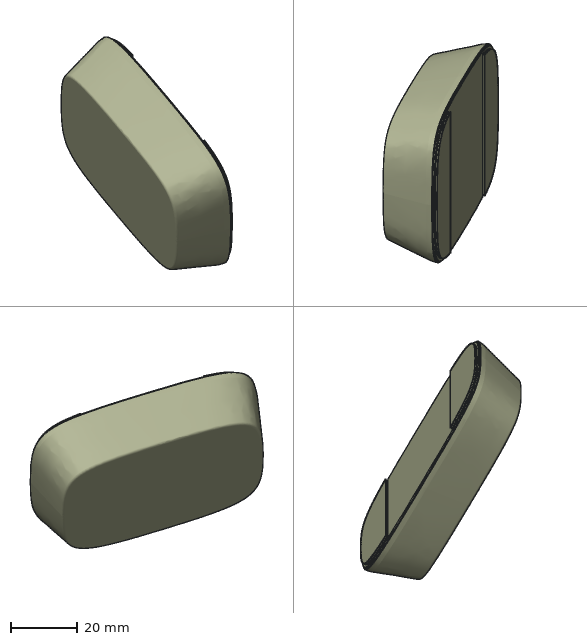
import cadquery as cq
import math

WIDTH = 73.45
HEIGHT = 51.4
DEPTH = 18.0

CORNER_PULL = 0.93
FRONT_PULL = 0.91

WALL_DRAFT = 15.4
FRONT_RADIUS = 0.9
BELT_LENGTH = 1.8
BELT_SECTIONS = 4
REAR_CHAMFER = 0.2

PLATE_THICKNESS = 0.4
PLATE_INSET = 0.5

FOOT_HEIGHT = 0.9
FOOT_BASE = 0.2
FOOT_NECK = 0.45
FOOT_INSET = 1.25
NECK_INSET = 0.15
FOOT_INNER_X = 20.0

PLATE_BACK = DEPTH - FOOT_HEIGHT
SHELL_BACK = PLATE_BACK - PLATE_THICKNESS
BELT_BACK = SHELL_BACK - REAR_CHAMFER
BELT_FRONT = BELT_BACK - BELT_LENGTH


def outline(y, inset, pull=CORNER_PULL):
    """Closed outline in the XZ plane at station y, shrunk by inset on every side."""
    half_x = WIDTH / 2 - inset
    half_z = HEIGHT / 2 - inset
    pull_x = half_x * pull
    pull_z = half_z * pull
    edges = []
    for sign_x, sign_z in ((1, 1), (1, -1), (-1, -1), (-1, 1)):
        quadrant = [
            cq.Vector(0, y, sign_z * half_z),
            cq.Vector(sign_x * pull_x, y, sign_z * half_z),
            cq.Vector(sign_x * half_x, y, sign_z * pull_z),
            cq.Vector(sign_x * half_x, y, 0),
        ]
        if sign_x * sign_z < 0:
            quadrant.reverse()
        edges.append(cq.Edge.makeBezier(quadrant))
    return cq.Wire.assembleEdges(edges)


def slab(y_front, y_back, inset_front, inset_back):
    """Solid with straight walls between two outlines."""
    sections = [outline(y_front, inset_front), outline(y_back, inset_back)]
    return cq.Workplane(obj=cq.Solid.makeLoft(sections, True))


def make_wall():
    """Drafted wall that widens from the front face up to the belt."""
    draft = math.radians(WALL_DRAFT)
    back_inset = BELT_LENGTH * math.tan(draft / 2)
    front_inset = back_inset + BELT_FRONT * math.tan(draft)
    sections = [outline(0, front_inset, FRONT_PULL), outline(BELT_FRONT, back_inset)]
    wall = cq.Workplane(obj=cq.Solid.makeLoft(sections, True))
    return wall.faces("<Y").edges().fillet(FRONT_RADIUS)


def make_belt():
    """Belt with an arc profile, tangent to the drafted wall and upright at the back."""
    draft = math.radians(WALL_DRAFT)
    radius = BELT_LENGTH / math.sin(draft)
    sections = []
    for index in range(BELT_SECTIONS):
        angle = draft * (1 - index / (BELT_SECTIONS - 1))
        y = BELT_BACK - radius * math.sin(angle)
        sections.append(outline(y, radius * (1 - math.cos(angle))))
    return cq.Workplane(obj=cq.Solid.makeLoft(sections))


def make_shell():
    bevel = slab(BELT_BACK, SHELL_BACK, 0, REAR_CHAMFER)
    return make_wall().union(make_belt()).union(bevel)


def foot_layer(side, y_front, y_back, edge_inset):
    """One layer of a foot: the end of an inset outline cut along a straight line."""
    inset = FOOT_INSET + edge_inset
    inner_x = FOOT_INNER_X + edge_inset
    end_block = cq.Workplane("XY").box(WIDTH, 3 * DEPTH, 2 * HEIGHT)
    end_block = end_block.translate((side * (inner_x + WIDTH / 2), 0, 0))
    return slab(y_front, y_back, inset, inset).intersect(end_block)


def make_foot(side):
    neck_front = PLATE_BACK + FOOT_BASE
    pad_front = neck_front + FOOT_NECK
    base = foot_layer(side, PLATE_BACK, neck_front, 0)
    neck = foot_layer(side, neck_front, pad_front, NECK_INSET)
    pad = foot_layer(side, pad_front, DEPTH, 0)
    return base.union(neck).union(pad)


result = make_shell().union(slab(SHELL_BACK, PLATE_BACK, PLATE_INSET, PLATE_INSET))
for side in (-1, 1):
    result = result.union(make_foot(side))